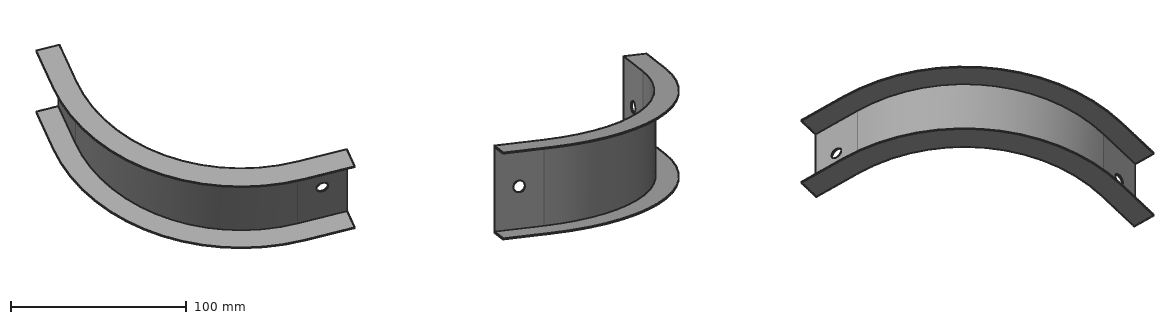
import cadquery as cq
import math

side = 143.0
height = 52.0
sheet = 0.8
flange_width = 14.0
arm_length = 30.0
hole_diameter = 7.0

outer_radius = side - arm_length
bend_center = (arm_length, side - arm_length)


def bent_strip(near, far, strip_height):
    """Extrude the strip between two offsets measured inward from the outer edge."""
    cx, cy = bend_center
    diagonal = math.sqrt(0.5)
    near_radius = outer_radius - near
    far_radius = outer_radius - far
    return (
        cq.Workplane("XY")
        .moveTo(0, near)
        .lineTo(cx, near)
        .threePointArc(
            (cx + near_radius * diagonal, cy - near_radius * diagonal),
            (side - near, cy),
        )
        .lineTo(side - near, side)
        .lineTo(side - far, side)
        .lineTo(side - far, cy)
        .threePointArc(
            (cx + far_radius * diagonal, cy - far_radius * diagonal),
            (cx, far),
        )
        .lineTo(0, far)
        .close()
        .extrude(strip_height)
    )


web = bent_strip(flange_width - sheet, flange_width, height)
bottom_flange = bent_strip(0, flange_width, sheet)
top_flange = bottom_flange.translate((0, 0, height - sheet))
channel = web.union(bottom_flange).union(top_flange)

hole_from_end = arm_length / 2
hole_radius = hole_diameter / 2
cut_depth = 2 * flange_width
first_hole = (
    cq.Workplane("XZ")
    .center(hole_from_end, height / 2)
    .circle(hole_radius)
    .extrude(-cut_depth)
)
second_hole = (
    cq.Workplane("YZ", origin=(side, 0, 0))
    .center(side - hole_from_end, height / 2)
    .circle(hole_radius)
    .extrude(-cut_depth)
)

result = channel.cut(first_hole).cut(second_hole)